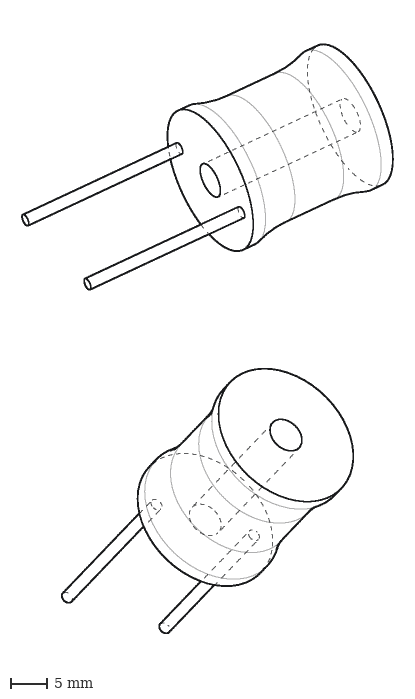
import cadquery as cq
import math

total_length = 48.5
flange_diameter = 21.1
body_length = 23.1
lead_length = total_length - body_length

flange_thickness = 2.0
barrel_diameter = 19.1
barrel_length = 8.05
bore_diameter = 5.0

lead_diameter = 1.7
lead_spacing = 15.25

flange_radius = flange_diameter / 2
barrel_radius = barrel_diameter / 2
bore_radius = bore_diameter / 2

flare_length = (body_length - barrel_length) / 2 - flange_thickness
flare_rise = flange_radius - barrel_radius
flare_radius = (flare_length**2 + flare_rise**2) / (2 * flare_rise)
half_angle = math.asin(flare_length / flare_radius) / 2
flare_mid_offset = flare_radius * math.sin(half_angle)
flare_mid_radius = barrel_radius + flare_radius * (1 - math.cos(half_angle))


def make_spool():
    """Flanged, waisted body with a through bore, from Y = 0 to body_length."""
    front_flare_start = flange_thickness
    barrel_start = front_flare_start + flare_length
    barrel_end = barrel_start + barrel_length
    back_flare_end = barrel_end + flare_length
    profile = (
        cq.Workplane("XY")
        .moveTo(bore_radius, 0)
        .lineTo(flange_radius, 0)
        .lineTo(flange_radius, front_flare_start)
        .threePointArc(
            (flare_mid_radius, barrel_start - flare_mid_offset),
            (barrel_radius, barrel_start),
        )
        .lineTo(barrel_radius, barrel_end)
        .threePointArc(
            (flare_mid_radius, barrel_end + flare_mid_offset),
            (flange_radius, back_flare_end),
        )
        .lineTo(flange_radius, body_length)
        .lineTo(bore_radius, body_length)
        .close()
    )
    return profile.revolve(360, (0, 0, 0), (0, 1, 0))


def make_leads():
    """Two round leads standing on the front flange, toward -Y."""
    return (
        cq.Workplane("XZ")
        .pushPoints([(-lead_spacing / 2, 0), (lead_spacing / 2, 0)])
        .circle(lead_diameter / 2)
        .extrude(lead_length)
    )


result = make_spool().union(make_leads())